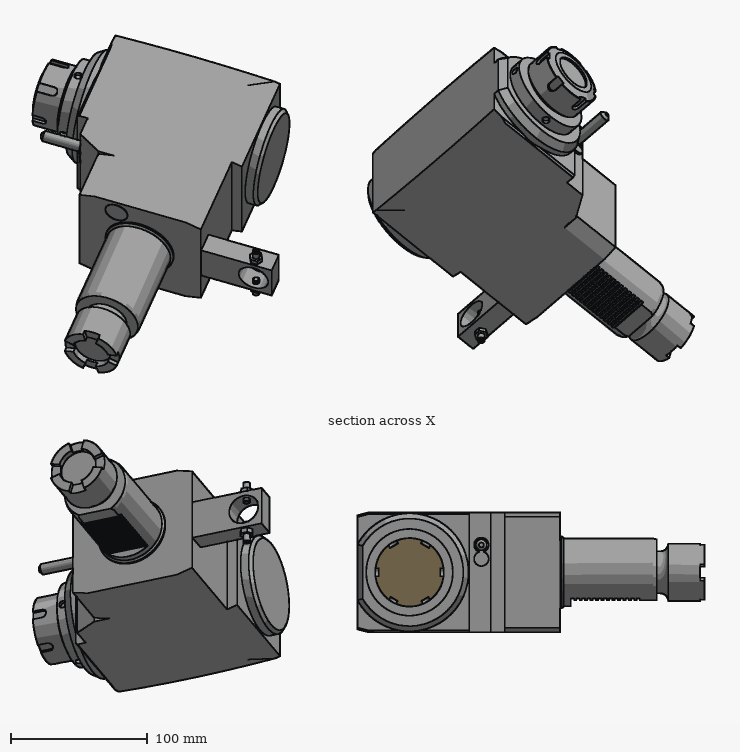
import cadquery as cq
import math


half_height = 44.0
housing_back = 148.3
housing_left = -72.6
housing_right = 55.4
shoulder_y = 66.5
waist_left = -64.8
waist_right = 47.5
taper_start_y = 50.8
foot_y = 40.5
foot_left = -47.0
bevel_angle = 15
bevel_slope = math.tan(math.radians(bevel_angle))
right_bevel_x = 35.5
foot_bevel_x = -35.0
left_edge_bevel = 1.5
back_cone_x = -17.8
back_cone_y = -154.5
back_cone_radius = 294.6

spindle_y = 110.2
flange_radius = 43.2
flange_front = -83.0
flange_bevel_length = 6.0
flange_bevel_depth = 3.8
ring_radius = 31.8
ring_front = -92.5
ring_hole_x = -88.0
ring_hole_radius = 2.8
ring_hole_depth = 3.0
neck_radius = 21.0
nut_front = -116.8
nut_back = -94.2
nut_radius = 25.1
nut_lip_radius = 24.5
nut_lip_length = 2.3
nut_face_radius = 18.0
nut_back_chamfer = 1.0
nut_bore_radius = 13.7
nut_bore_depth = 1.5
nut_slot_step = 60
nut_slot_width = 6.5
nut_slot_end = -104.0
upper_slot_end = -99.8
nut_slot_depth = 2.5
cover_radius = 36.8
cover_right = 64.3
cover_chamfer = 2.5

pin_y = 57.7
pin_z = 20.0
pin_radius = 4.0
pin_tip = -97.5
pin_chamfer = 2.3
plug_z = 10.0
plug_radius = 5.3
plug_height = 1.5

collar_radius = 26.5
collar_length = 1.3
collar_end = 2.8
shank_radius = 25.0
shank_end = 70.9
shank_chamfer_length = 3.0
shank_chamfer_depth = 0.8
throat_radius = 15.5
flare_end = 79.0
head_radius = 21.0
head_end = 105.7
head_bore_radius = 14.0
head_bore_depth = 5.0
drive_depth = 3.3
drive_slot_count = 4
drive_slot_angle = 33
rack_start = 8.0
rack_flat_z = -20.5
rack_gap_count = 13
rack_span = 48.0
rack_pitch = rack_span / (rack_gap_count - 1)
rack_gap_width = 2.3
rack_gap_depth = 1.3
spot_x = -18.3
spot_z = 32.0
spot_radius = 8.6
spot_depth = 0.3

arm_right = 102.4
arm_front = 0.8
arm_back = 16.3
arm_half_height = 15.0
arm_hole_x = 88.1
arm_hole_radius = 11.5
screw_y = 6.4
screw_radius = 2.5
screw_inner_z = 8.5
screw_outer_z = 24.6
screw_tip_chamfer = 0.8
locknut_corner_diameter = 9.7
locknut_top_z = 18.8
socket_corner_diameter = 3.0
socket_depth = 2.0

overlap = 1.3


def x_cylinder(x_start, x_end, radius, y=spindle_y, z=0.0):
    """Cylinder parallel to X."""
    plane = cq.Workplane("YZ", origin=(x_start, y, z))
    return plane.circle(radius).extrude(x_end - x_start)


def make_housing():
    outline = [
        (foot_left, 0),
        (waist_right, 0),
        (waist_right, shoulder_y),
        (housing_right, shoulder_y),
        (housing_right, housing_back),
        (housing_left, housing_back),
        (housing_left, shoulder_y),
        (waist_left, shoulder_y),
        (waist_left, taper_start_y),
        (foot_left, foot_y),
    ]
    block = (
        cq.Workplane("XY").workplane(offset=-half_height)
        .polyline(outline).close().extrude(2 * half_height)
    )

    right_edge_z = half_height - (housing_right - right_bevel_x) * bevel_slope
    left_edge_z = half_height - left_edge_bevel
    section = [
        (housing_left, -left_edge_z),
        (housing_left + left_edge_bevel, -half_height),
        (right_bevel_x, -half_height),
        (housing_right, -right_edge_z),
        (housing_right, right_edge_z),
        (right_bevel_x, half_height),
        (housing_left + left_edge_bevel, half_height),
        (housing_left, left_edge_z),
    ]
    prism = cq.Workplane("XZ").polyline(section).close().extrude(-housing_back)

    cone_base_radius = back_cone_radius + half_height / bevel_slope
    cone_profile = [
        (0, -half_height),
        (back_cone_radius, -half_height),
        (cone_base_radius, 0),
        (back_cone_radius, half_height),
        (0, half_height),
    ]
    cones = (
        cq.Workplane("XZ", origin=(back_cone_x, back_cone_y, 0))
        .polyline(cone_profile).close().revolve(360, (0, 0), (0, 1))
    )
    housing = block.intersect(prism).intersect(cones)

    foot_bevel_drop = (foot_bevel_x - foot_left) * bevel_slope
    for side in (1, -1):
        wedge = (
            cq.Workplane("XZ")
            .moveTo(foot_left, side * half_height)
            .lineTo(foot_bevel_x, side * half_height)
            .lineTo(foot_left, side * (half_height - foot_bevel_drop))
            .close().extrude(-foot_y)
        )
        housing = housing.cut(wedge)
    return housing


def make_flange():
    """Round flange, flattened level with the housing back, with a bevelled front rim."""
    disc = x_cylinder(flange_front, housing_left + overlap, flange_radius)
    disc = disc.faces("<X").chamfer(flange_bevel_length, flange_bevel_depth)
    cutter_top = housing_back + flange_radius
    beyond_flat = [
        (flange_front, housing_back - flange_bevel_depth),
        (flange_front + flange_bevel_length, housing_back),
        (housing_left + overlap, housing_back),
        (housing_left + overlap, cutter_top),
        (flange_front, cutter_top),
    ]
    cutter = (
        cq.Workplane("XY").workplane(offset=-flange_radius)
        .polyline(beyond_flat).close().extrude(2 * flange_radius)
    )
    return disc.cut(cutter)


def make_ring():
    ring = x_cylinder(ring_front, flange_front + overlap, ring_radius)
    hole = (
        cq.Workplane("XY", origin=(ring_hole_x, spindle_y, ring_radius - ring_hole_depth))
        .circle(ring_hole_radius).extrude(2 * ring_hole_depth)
    )
    for quarter in range(4):
        ring = ring.cut(hole.rotate((0, spindle_y, 0), (1, spindle_y, 0), 90 * quarter))
    return ring


def make_nut_slot(slot_end):
    """Cutter for a round-ended wrench slot on the +Y side, open to the front."""
    half_width = nut_slot_width / 2
    straight_end = slot_end - half_width
    return (
        cq.Workplane("XZ", origin=(0, spindle_y + nut_radius - nut_slot_depth, 0))
        .moveTo(nut_front, -half_width)
        .lineTo(straight_end, -half_width)
        .threePointArc((slot_end, 0), (straight_end, half_width))
        .lineTo(nut_front, half_width)
        .close().extrude(-2 * nut_slot_depth)
    )


def make_nut():
    profile = [
        (nut_front, 0),
        (nut_front, nut_face_radius),
        (nut_front + nut_lip_length, nut_lip_radius),
        (nut_front + nut_lip_length, nut_radius),
        (nut_back - nut_back_chamfer, nut_radius),
        (nut_back, nut_radius - nut_back_chamfer),
        (nut_back, 0),
    ]
    nut = cq.Workplane("XY").polyline(profile).close().revolve(360, (0, 0), (1, 0))
    nut = nut.translate((0, spindle_y, 0))
    nut = nut.cut(x_cylinder(nut_front, nut_front + nut_bore_depth, nut_bore_radius))

    for angle in range(0, 360, nut_slot_step):
        on_upper_side = 0 < angle < 180
        slot = make_nut_slot(upper_slot_end if on_upper_side else nut_slot_end)
        nut = nut.cut(slot.rotate((0, spindle_y, 0), (1, spindle_y, 0), angle))
    return nut


def make_spindle():
    neck = x_cylinder(nut_back - overlap, ring_front + overlap, neck_radius)
    cover = x_cylinder(housing_right - overlap, cover_right, cover_radius)
    cover = cover.faces(">X").chamfer(cover_chamfer)
    return [make_flange(), make_ring(), neck, make_nut(), cover]


def make_pin_and_plug():
    pin = x_cylinder(pin_tip, waist_left + overlap, pin_radius, pin_y, pin_z)
    pin = pin.faces("<X").chamfer(pin_chamfer)
    pieces = [pin]
    for z in (pin_z, plug_z):
        pieces.append(x_cylinder(waist_left - plug_height, waist_left + overlap, plug_radius, pin_y, z))
    return pieces


def make_shank():
    flare_radius = head_radius - throat_radius
    flare_start = flare_end - flare_radius
    arc_reach = flare_radius * math.sqrt(0.5)
    shank = (
        cq.Workplane("XY")
        .moveTo(0, overlap)
        .lineTo(collar_radius, overlap)
        .lineTo(collar_radius, -collar_length)
        .lineTo(shank_radius, -collar_end)
        .lineTo(shank_radius, -(shank_end - shank_chamfer_length))
        .lineTo(shank_radius - shank_chamfer_depth, -shank_end)
        .lineTo(throat_radius, -shank_end)
        .lineTo(throat_radius, -flare_start)
        .threePointArc((head_radius - arc_reach, -flare_start - arc_reach), (head_radius, -flare_end))
        .lineTo(head_radius, -head_end)
        .lineTo(0, -head_end)
        .close().revolve(360, (0, 0), (0, 1))
    )
    return cut_drive_face(cut_rack(shank))


def cut_rack(shank):
    """Flat along the underside of the shank with a row of rack gaps across it."""
    width = 2 * shank_radius
    flat_length = shank_end - rack_start
    flat = (
        cq.Workplane("XY").box(width, flat_length, shank_radius, centered=(True, False, False))
        .translate((0, -shank_end, rack_flat_z - shank_radius))
    )
    shank = shank.cut(flat)
    gap = cq.Workplane("XY").box(width, rack_gap_width, 2 * rack_gap_depth, centered=(True, False, True))
    for index in range(rack_gap_count):
        gap_y = -rack_start - rack_gap_width - index * rack_pitch
        shank = shank.cut(gap.translate((0, gap_y, rack_flat_z)))
    return shank


def cut_drive_face(shank):
    """Central recess and radial-sided drive slots in the end of the shank."""
    bore_floor = cq.Workplane("XZ", origin=(0, -head_end + head_bore_depth, 0))
    shank = shank.cut(bore_floor.circle(head_bore_radius).extrude(head_bore_depth))
    slot_floor = cq.Workplane("XZ", origin=(0, -head_end + drive_depth, 0))
    reach = 2 * head_radius
    half_width = reach * math.tan(math.radians(drive_slot_angle / 2))
    sector = [(0, 0), (reach, -half_width), (reach, half_width)]
    slot = slot_floor.polyline(sector).close().extrude(drive_depth)
    for index in range(drive_slot_count):
        shank = shank.cut(slot.rotate((0, 0, 0), (0, 1, 0), 360 / drive_slot_count * index))
    return shank


def make_clamp_screw():
    """Upper set screw with its hexagonal lock nut."""
    at_screw = (arm_hole_x, screw_y)
    screw = (
        cq.Workplane("XY", origin=(*at_screw, screw_inner_z))
        .circle(screw_radius).extrude(screw_outer_z - screw_inner_z)
        .faces("<Z").chamfer(screw_tip_chamfer)
    )
    socket = (
        cq.Workplane("XY", origin=(*at_screw, screw_outer_z - socket_depth))
        .polygon(6, socket_corner_diameter).extrude(socket_depth)
    )
    locknut = (
        cq.Workplane("XY", origin=(*at_screw, arm_half_height - overlap))
        .polygon(6, locknut_corner_diameter).extrude(locknut_top_z - arm_half_height + overlap)
    )
    return locknut.union(screw).cut(socket)


def make_arm():
    arm_left = waist_right - overlap
    arm = (
        cq.Workplane("XY")
        .box(arm_right - arm_left, arm_back - arm_front, 2 * arm_half_height, centered=(False, False, True))
        .translate((arm_left, arm_front, 0))
    )
    hole = cq.Workplane("XZ", origin=(arm_hole_x, 0, 0)).circle(arm_hole_radius).extrude(-arm_back)
    screw = make_clamp_screw()
    return arm.cut(hole).union(screw).union(screw.mirror("XY"))


def make_spot():
    """Shallow round recess in the mounting face."""
    plane = cq.Workplane("XZ", origin=(spot_x, spot_depth, spot_z))
    return plane.circle(spot_radius).extrude(spot_depth)


result = make_housing().cut(make_spot())
for piece in make_spindle() + make_pin_and_plug() + [make_shank(), make_arm()]:
    result = result.union(piece)